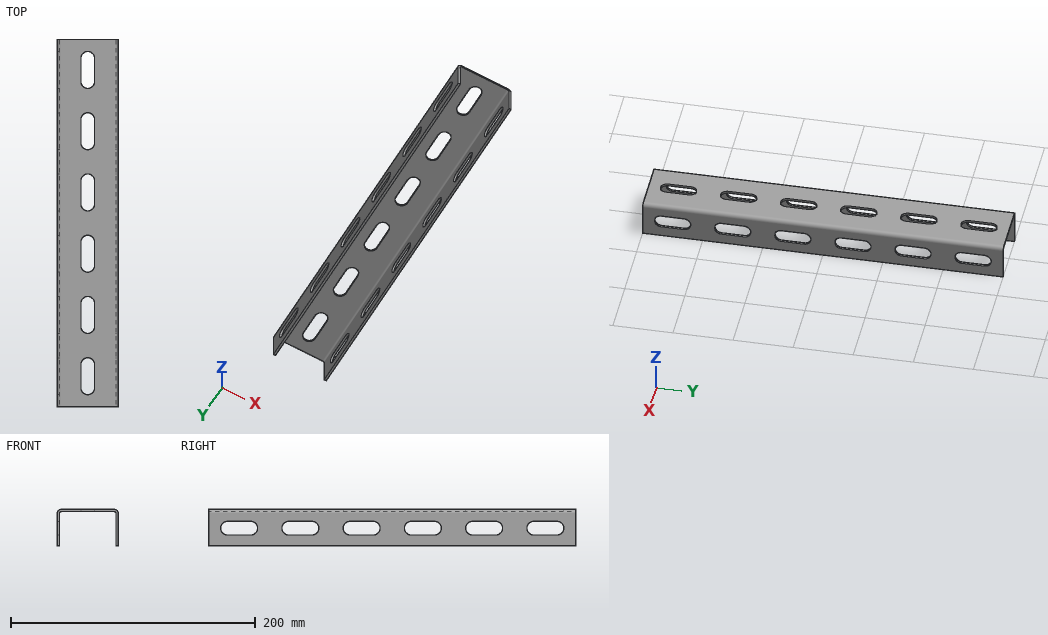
import cadquery as cq

length = 300.0
width = 50.0
height = 30.0
thickness = 2.0
outer_bend_radius = 3.5
inner_bend_radius = outer_bend_radius - thickness

slot_length = 30.0
slot_width = 11.0
slot_pitch = 50.0
slot_count = 6
side_slot_height = 14.5


def make_channel():
    """Bent sheet channel, open downwards, centred on X and Y."""
    outer = (
        cq.Workplane("XY")
        .box(width, length, height, centered=(True, True, False))
        .edges("|Y and >Z")
        .fillet(outer_bend_radius)
    )
    inner = (
        cq.Workplane("XY")
        .box(width - 2 * thickness, length, height - thickness, centered=(True, True, False))
        .edges("|Y and >Z")
        .fillet(inner_bend_radius)
    )
    return outer.cut(inner)


def slot_positions():
    """Y positions of the slot centres, symmetric about the middle."""
    first = -slot_pitch * (slot_count - 1) / 2
    return [first + i * slot_pitch for i in range(slot_count)]


def top_slots():
    """Cutters through the top web, long axis along Y."""
    return (
        cq.Workplane("XY")
        .pushPoints([(0, y) for y in slot_positions()])
        .slot2D(slot_length, slot_width, 90)
        .extrude(height)
    )


def side_slots():
    """Cutters through both side walls, long axis along Y."""
    return (
        cq.Workplane("YZ")
        .pushPoints([(y, side_slot_height) for y in slot_positions()])
        .slot2D(slot_length, slot_width, 0)
        .extrude(width / 2, both=True)
    )


result = make_channel().cut(top_slots()).cut(side_slots())